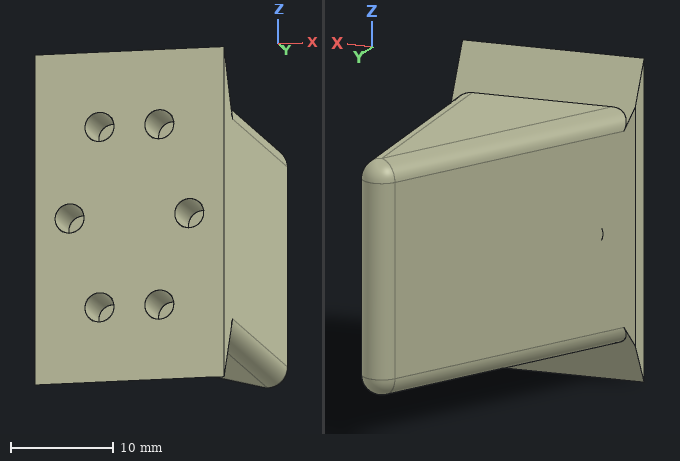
import cadquery as cq
import math

width = 19.0
depth = 29.93
height = 33.0

body_height = 24.0
edge_radius = 2.0
slope_angle = math.radians(60)

flare_angle = math.radians(60)

hole_diameter = 2.9
hole_depth = 6.07
inner_hole_x = 3.0
outer_hole_x = 2 * inner_hole_x
hole_row_z = 9.0

half_width = width / 2
nose_x = half_width - edge_radius
nose_y = depth - edge_radius
tangent_x = nose_x - edge_radius * math.sin(slope_angle)
tangent_y = nose_y + edge_radius * math.cos(slope_angle)
side_height = tangent_y - (tangent_x + half_width) * math.tan(slope_angle)

tip_y = side_height + width * math.tan(slope_angle)


def wedge_prism(prism_height):
    """Sharp-edged wedge outline, extruded symmetrically about Z = 0."""
    outline = [
        (-half_width, 0),
        (half_width, 0),
        (half_width, tip_y),
        (-half_width, side_height),
    ]
    return cq.Workplane("XY").polyline(outline).close().extrude(prism_height / 2, both=True)


def make_body():
    """Wedge with a round nose and rounded edges along both long sides."""
    prism = wedge_prism(body_height)
    nose_edge = cq.selectors.NearestToPointSelector((half_width, tip_y, 0))
    prism = prism.edges("|Z").edges(nose_edge).fillet(edge_radius)
    rims = prism.faces("|Z").edges("not(<Y or <X)")
    return rims.fillet(edge_radius)


def make_foot():
    """Foot with sloping ends that run into the rounded edges of the body."""
    inner_height = body_height - 2 * edge_radius
    foot_depth = (height - inner_height) / 2 / math.tan(flare_angle)
    profile = [
        (0, -height / 2),
        (0, height / 2),
        (foot_depth, inner_height / 2),
        (foot_depth, -inner_height / 2),
    ]
    flare = cq.Workplane("YZ").polyline(profile).close().extrude(half_width, both=True)
    return flare.intersect(wedge_prism(height))


def make_holes():
    """Ring of six holes bored from the mounting face."""
    centers = [(-outer_hole_x, 0), (outer_hole_x, 0)]
    for x in (-inner_hole_x, inner_hole_x):
        for z in (-hole_row_z, hole_row_z):
            centers.append((x, z))
    return cq.Workplane("XZ").pushPoints(centers).circle(hole_diameter / 2).extrude(-hole_depth)


result = make_body().union(make_foot()).cut(make_holes())